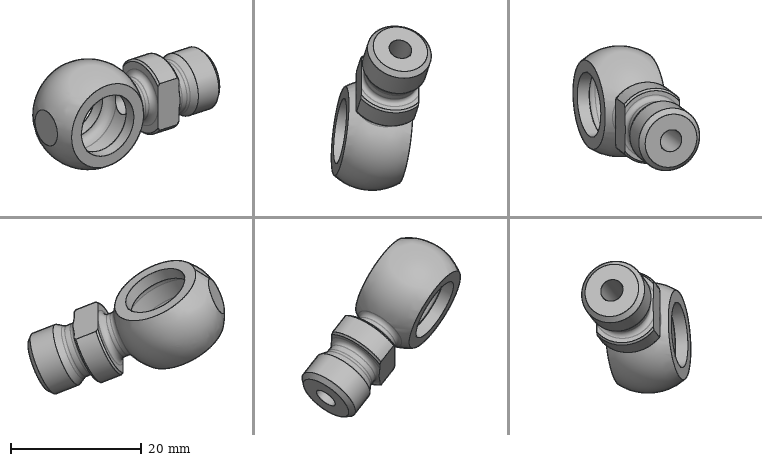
import cadquery as cq
import math


eye_width = 10.0
eye_radius = 8.505
eye_bore_radius = 5.0
stem_end_y = 22.0
overall_length = 30
eye_flat_y = stem_end_y - overall_length

groove_width = 6
groove_corner_radius = 1.5
groove_radius = eye_bore_radius + groove_corner_radius

neck_radius = 3.5
neck_fillet = 1.0

collar_radius = 6
collar_start_y = 10.0
collar_end_y = 14.0
collar_chamfer = 0.3
collar_across_flats = 9

shank_radius = 4.2
shank_fillet = 0.8
spigot_diameter = 10.0
spigot_radius = spigot_diameter / 2
spigot_length = 4.65
spigot_chamfer = 0.75
spigot_taper_length = 1.32
spigot_taper_fillet = 1.0

passage_diameter = 3.5


def arc_midpoint(center, radius, angle_from, angle_to):
    """Point halfway along an arc, with angles in degrees."""
    middle = math.radians((angle_from + angle_to) / 2)
    return (center[0] + radius * math.cos(middle), center[1] + radius * math.sin(middle))


def make_eye():
    ball = cq.Workplane("XY").sphere(eye_radius)
    envelope = cq.Workplane("XY").box(eye_width, 2 * overall_length, 2 * eye_radius)
    envelope = envelope.translate((0, eye_flat_y + overall_length, 0))
    return ball.intersect(envelope)


def make_stem():
    """Revolved neck and spigot; the neck blends tangentially into the ball."""
    blend_center_radius = neck_radius + neck_fillet
    blend_distance = eye_radius + neck_fillet
    blend_center_y = math.sqrt(blend_distance**2 - blend_center_radius**2)
    blend_center = (blend_center_radius, blend_center_y)
    ball_contact = (
        blend_center_radius * eye_radius / blend_distance,
        blend_center_y * eye_radius / blend_distance,
    )
    contact_angle = 180 + math.degrees(math.atan2(blend_center_y, blend_center_radius))
    neck_end_center = (blend_center_radius, collar_start_y - neck_fillet)
    shank_center = (shank_radius + shank_fillet, collar_end_y + shank_fillet)
    spigot_start_y = stem_end_y - spigot_length

    taper_rise = spigot_radius - shank_radius
    taper_angle = math.degrees(math.atan2(taper_rise, spigot_taper_length))
    corner_setback = spigot_taper_fillet * math.tan(math.radians(taper_angle / 2))
    taper_blend_start = (shank_radius, spigot_start_y - spigot_taper_length - corner_setback)
    taper_blend_center = (shank_radius + spigot_taper_fillet, taper_blend_start[1])
    taper_blend_end = (
        taper_blend_center[0] - spigot_taper_fillet * math.cos(math.radians(taper_angle)),
        taper_blend_center[1] + spigot_taper_fillet * math.sin(math.radians(taper_angle)),
    )

    profile = (
        cq.Workplane("XY")
        .lineTo(*ball_contact)
        .threePointArc(
            arc_midpoint(blend_center, neck_fillet, contact_angle, 180),
            (neck_radius, blend_center_y),
        )
        .lineTo(neck_radius, neck_end_center[1])
        .threePointArc(
            arc_midpoint(neck_end_center, neck_fillet, 180, 90),
            (blend_center_radius, collar_start_y),
        )
        .lineTo(blend_center_radius, collar_end_y)
        .lineTo(shank_center[0], collar_end_y)
        .threePointArc(
            arc_midpoint(shank_center, shank_fillet, 270, 180),
            (shank_radius, shank_center[1]),
        )
        .lineTo(*taper_blend_start)
        .threePointArc(
            arc_midpoint(taper_blend_center, spigot_taper_fillet, 180, 180 - taper_angle),
            taper_blend_end,
        )
        .lineTo(spigot_radius, spigot_start_y)
        .lineTo(spigot_radius, stem_end_y - spigot_chamfer)
        .lineTo(spigot_radius - spigot_chamfer, stem_end_y)
        .lineTo(0, stem_end_y)
        .close()
    )
    return profile.revolve(360, (0, 0), (0, 1))


def make_collar():
    return (
        cq.Workplane("XZ", origin=(0, collar_end_y, 0))
        .circle(collar_radius)
        .extrude(collar_end_y - collar_start_y)
        .edges()
        .chamfer(collar_chamfer)
    )


def trim_to_flats(body):
    """Cut the collar and its blends to the width across flats."""
    neck_middle_y = collar_start_y - neck_fillet
    shank_middle_y = collar_end_y + shank_fillet
    length = shank_middle_y - neck_middle_y
    middle_y = (shank_middle_y + neck_middle_y) / 2
    outer = cq.Workplane("XY").box(3 * collar_radius, length, 3 * collar_radius)
    inner = cq.Workplane("XY").box(collar_across_flats, length, 3 * collar_radius)
    return body.cut(outer.cut(inner).translate((0, middle_y, 0)))


def make_bore():
    bore = cq.Workplane("YZ").circle(eye_bore_radius).extrude(eye_width, both=True)
    groove = (
        cq.Workplane("YZ", origin=(-groove_width / 2, 0, 0))
        .circle(groove_radius)
        .extrude(groove_width)
        .edges()
        .fillet(groove_corner_radius)
    )
    return bore.union(groove)


def make_passage():
    return (
        cq.Workplane("XZ", origin=(0, stem_end_y, 0))
        .circle(passage_diameter / 2)
        .extrude(stem_end_y)
    )


body = make_eye().union(make_stem()).union(make_collar())
body = trim_to_flats(body)
result = body.cut(make_bore()).cut(make_passage())